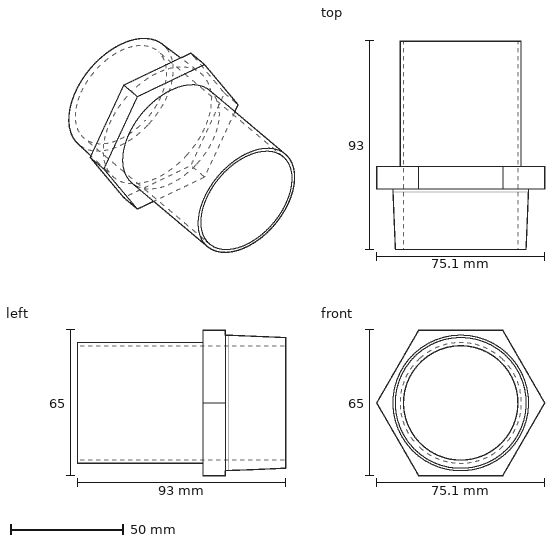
import cadquery as cq
import math

total_length = 93.0
hex_across_flats = 65.0
hex_thickness = 10.1
thread_length = 27.0
collar_length = 1.3

bore_diameter = 51.0
tube_diameter = 54.0
thread_root_diameter = 60.5
thread_end_diameter = 58.4

thread_end_y = -total_length / 2
tube_end_y = total_length / 2
hex_front_y = thread_end_y + thread_length
hex_back_y = hex_front_y + hex_thickness
taper_start_y = hex_front_y - collar_length


def turned_body():
    """Plain tube and tapered thread end, revolved about Y."""
    bore_radius = bore_diameter / 2
    tube_radius = tube_diameter / 2
    root_radius = thread_root_diameter / 2
    profile = [
        (thread_end_y, bore_radius),
        (thread_end_y, thread_end_diameter / 2),
        (taper_start_y, root_radius),
        (hex_front_y, root_radius),
        (hex_front_y, tube_radius),
        (tube_end_y, tube_radius),
        (tube_end_y, bore_radius),
    ]
    return cq.Workplane("YZ").polyline(profile).close().revolve(360, (0, 0, 0), (1, 0, 0))


def hex_flange():
    """Hexagonal wrench flange with corners on the X axis, bored through."""
    across_corners = hex_across_flats / math.cos(math.pi / 6)
    return (
        cq.Workplane("XZ", origin=(0, hex_back_y, 0))
        .polygon(6, across_corners)
        .circle(bore_diameter / 2)
        .extrude(hex_thickness)
    )


result = turned_body().union(hex_flange())